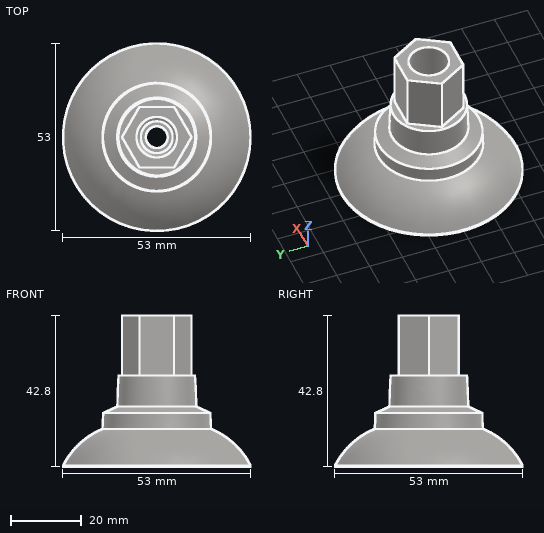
import cadquery as cq
import math

total_height = 42.75
hex_height = 16.95
collar_top = total_height - hex_height
collar_bottom = 17.05
collar_mid_height = (collar_bottom + collar_top) / 2
band_top = 15.2
band_bottom = 10.75
rim_height = 0.4

rim_radius = 26.5
band_bottom_radius = 15.35
band_top_radius = 15.15
collar_bottom_radius = 11.2
collar_mid_radius = 11.1
collar_top_radius = 10.8
dome_mid_radius = 22.1
dome_mid_height = 6.35

hex_across_flats = 17.0

through_diameter = 6.1
seat_diameter = 9.0
bore_diameter = 11.45
bore_depth = hex_height
seat_half_angle = 59.0
seat_cone_height = (bore_diameter - seat_diameter) / 2 / math.tan(math.radians(seat_half_angle))


def turned_body():
    """Domed cup, band and collar, revolved about Z."""
    return (
        cq.Workplane("XZ")
        .lineTo(rim_radius, 0)
        .lineTo(rim_radius, rim_height)
        .threePointArc((dome_mid_radius, dome_mid_height), (band_bottom_radius, band_bottom))
        .lineTo(band_top_radius, band_top)
        .lineTo(collar_bottom_radius, collar_bottom)
        .threePointArc((collar_mid_radius, collar_mid_height), (collar_top_radius, collar_top))
        .lineTo(0, collar_top)
        .close()
        .revolve(360, (0, 0, 0), (0, 1, 0))
    )


def hex_shank():
    """Hexagon with two corners on the X axis."""
    across_corners = hex_across_flats / math.cos(math.radians(30))
    return (
        cq.Workplane("XY")
        .workplane(offset=collar_top)
        .polygon(6, across_corners)
        .extrude(hex_height)
    )


def stepped_bore():
    """Wide bore with a conical end, a flat floor and a narrow through hole."""
    cone_top = total_height - bore_depth
    floor = cone_top - seat_cone_height
    return (
        cq.Workplane("XZ")
        .lineTo(through_diameter / 2, 0)
        .lineTo(through_diameter / 2, floor)
        .lineTo(seat_diameter / 2, floor)
        .lineTo(bore_diameter / 2, cone_top)
        .lineTo(bore_diameter / 2, total_height)
        .lineTo(0, total_height)
        .close()
        .revolve(360, (0, 0, 0), (0, 1, 0))
    )


result = turned_body().union(hex_shank()).cut(stepped_bore())